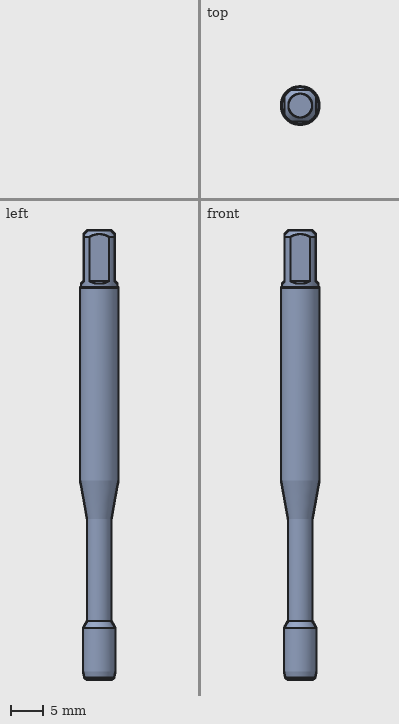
import cadquery as cq

length = 70.1

shank_diameter = 6.0
shank_bottom = 31.05
shank_top = 61.3
shank_chamfer = 0.15
drive_diameter = shank_diameter - 2 * shank_chamfer
drive_square = 4.9
flat_bottom = 62.2
end_face_diameter = 3.7
end_chamfer = (drive_diameter - end_face_diameter) / 2

core_diameter = 3.85
taper_bottom = 25.0

head_diameter = 5.1
lead_bottom = 0.35
lead_top = 1.25
lead_diameter = 4.7
head_shoulder = 8.05
head_top = 9.2


def revolve_profile(points):
    """Revolve a closed (radius, height) outline about the Z axis."""
    return cq.Workplane("XZ").polyline(points).close().revolve(360, (0, 0), (0, 1))


def drive_cutter():
    """Ring outside the square, with its lower end flared outward at 45 degrees."""
    flare = shank_diameter - drive_square
    height = length - flat_bottom
    outside = cq.Workplane("XY").workplane(offset=flat_bottom - flare)
    outside = outside.rect(2 * shank_diameter, 2 * shank_diameter).extrude(height + flare)
    square = cq.Workplane("XY").workplane(offset=flat_bottom).rect(drive_square, drive_square).extrude(height)
    ramp = (
        cq.Workplane("XY")
        .workplane(offset=flat_bottom - flare)
        .rect(drive_square + 2 * flare, drive_square + 2 * flare)
        .workplane(offset=flare)
        .rect(drive_square, drive_square)
        .loft(ruled=True)
    )
    return outside.cut(square).cut(ramp)


def make_shaft():
    """Core, taper, shank and driving square in one piece."""
    turned = revolve_profile([
        (0, 0),
        (core_diameter / 2, 0),
        (core_diameter / 2, taper_bottom),
        (shank_diameter / 2, shank_bottom),
        (shank_diameter / 2, shank_top - shank_chamfer),
        (drive_diameter / 2, shank_top),
        (drive_diameter / 2, length - end_chamfer),
        (end_face_diameter / 2, length),
        (0, length),
    ])
    return turned.cut(drive_cutter())


def make_head():
    """Sleeve with a tapered lead below and a conical shoulder above."""
    return revolve_profile([
        (core_diameter / 2, 0),
        (lead_diameter / 2, lead_bottom),
        (head_diameter / 2, lead_top),
        (head_diameter / 2, head_shoulder),
        (core_diameter / 2, head_top),
    ])


shaft = make_shaft()
head = make_head()

result = cq.Compound.makeCompound([shaft.val(), head.val()])